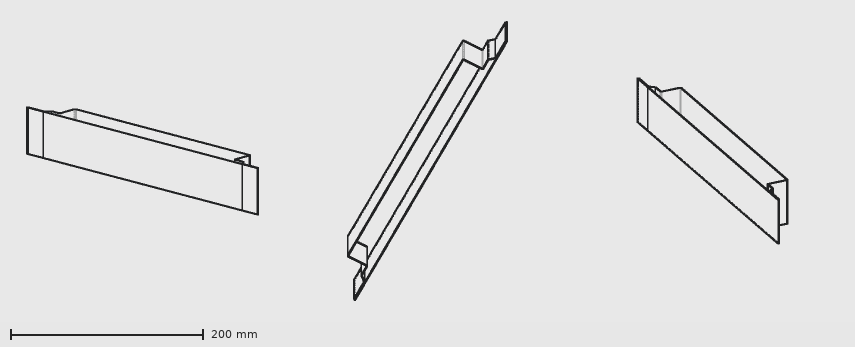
import cadquery as cq
import math

plate_length = 332.0
plate_thickness = 1.0
height = 50.0

sheet = 1.0
bracket_length = 330.0
bracket_depth = 30.0
channel_width = 253.0
step_offset = 6.0
step_end = 138.3
ramp_run = 5.3
inner_bend_radius = 0.6
outer_bend_radius = inner_bend_radius + sheet

flange_rear = plate_thickness + sheet
step_rear = flange_rear + step_offset
web_rear = plate_thickness + bracket_depth
half_length = bracket_length / 2
half_channel = channel_width / 2
ramp_foot = step_end + ramp_run

ramp_angle = math.atan2(step_offset, ramp_run)
miter_shift = sheet * math.tan(ramp_angle / 2)


def make_plate():
    """Flat rectangular plate with its front face on Y = 0."""
    return cq.Workplane("XY").box(plate_length, plate_thickness, height, centered=(True, False, False))


def make_bracket():
    """Hat-shaped sheet: rear web, side walls, steps, ramps and mounting flanges."""
    rear_side = [
        (half_channel, web_rear),
        (half_channel, step_rear),
        (step_end, step_rear),
        (ramp_foot, flange_rear),
        (half_length, flange_rear),
    ]
    front_side = [
        (half_length, flange_rear - sheet),
        (ramp_foot - miter_shift, flange_rear - sheet),
        (step_end - miter_shift, step_rear - sheet),
        (half_channel - sheet, step_rear - sheet),
        (half_channel - sheet, web_rear - sheet),
    ]
    right_half = rear_side + front_side
    left_half = [(-x, y) for x, y in reversed(right_half)]
    bracket = cq.Workplane("XY").polyline(right_half + left_half).close().extrude(height)
    return round_wall_bends(bracket)


def round_wall_bends(bracket):
    """Round both faces of the sheet where each side wall meets the web and the step."""
    bends = [
        (half_channel, web_rear, outer_bend_radius),
        (half_channel - sheet, web_rear - sheet, inner_bend_radius),
        (half_channel, step_rear, inner_bend_radius),
        (half_channel - sheet, step_rear - sheet, outer_bend_radius),
    ]
    for x, y, radius in bends:
        for side in (-1, 1):
            corner = cq.selectors.NearestToPointSelector((side * x, y, height / 2))
            bracket = bracket.edges("|Z").edges(corner).fillet(radius)
    return bracket


plate = make_plate()
bracket = make_bracket()

result = cq.Compound.makeCompound([plate.val(), bracket.val()])